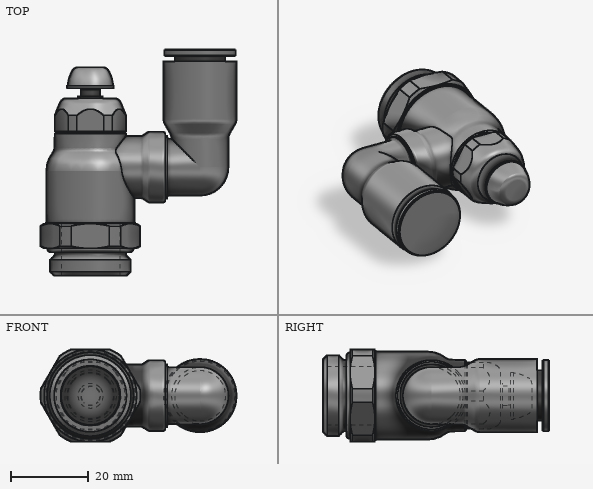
import cadquery as cq
import math


total_length = 58.7
thread_radius = 10.5
thread_tip_radius = 9.4
thread_tip_chamfer = 1.1
thread_end = 4.1
relief_radius = 9.3
thread_cone_end = 5.15
thread_cone_end_radius = 9.45
relief_start = 5.5
bore_radius = 7.6
bore_mouth_chamfer = 0.2
seal_start = 6.1
seal_radius = 11.2
nut_start = 7.1
nut_end = 13.5
nut_flats = 24.0
nut_corner_radius = 12.95
nut_chamfer_height = 0.6
nut_collar_radius = 11.6
nut_collar_height = 0.3
bore_depth = nut_end + nut_collar_height

sleeve_radius = 11.45
shoulder_start = 27.2
shoulder_bend_radius = 7.45
shoulder_angle = math.radians(38)
shoulder_blend_radius = 2.3
sleeve_end = 37.15
sleeve_end_chamfer = 0.35
sleeve_end_taper = 0.1
throat_radius = 7.85

cap_start = 37.45
cap_cone_start = 41.55
cap_round_start = 44.6
cap_end = 46.0
cap_flats = 17.2
cap_corner_radius = 9.3
cap_cone_top_radius = 8.05
cap_top_radius = 6.7

washer_radius = 3.2
washer_end = 46.5
stem_radius = 2.5
stem_relief_radius = 2.4
stem_relief_start = 48.25
knob_start = 48.6
knob_rim_radius = 6.1
knob_rim_round = 0.3
knob_rim_height = 0.7
knob_dome_radius = 5.9
knob_shoulder_radius = 4.5
knob_shoulder = 53.45
knob_top_radius = 2.95
knob_end = 54.1
knob_side_bulge = 0.3
knob_top_bulge = 0.2

branch_height = 28.2
branch_radius = 8.1
collar_radius = 9.2
collar_cone_start = 13.15
collar_cone_end = 15.45
collar_bend_length = 0.5
collar_bend_rise = 0.2
collar_round_start = 18.65
collar_end = 19.4
collar_end_radius = 8.75
elbow_rim_radius = 8.15
elbow_rim_end = 19.9
elbow_rim_inner_radius = 7.8
elbow_fillet_end = 20.3

elbow_radius = 7.4
port_x = 28.4
port_neck_end = 35.5
port_cone_start = 36.9
port_cone_end = 39.4
port_cone_base_radius = 7.75
port_cone_top_radius = 9.15
port_start = 40.8
port_end = 55.6
port_radius = 9.5
release_neck_radius = 6.6
release_start = 56.9
release_radius = 9.3
release_chamfer = 0.3


def revolve_about_y(profile, x=0):
    """Close a (radius, Y) profile on the axis and turn it about the Y line at the given X."""
    return profile.close().revolve(360, (0, 0, 0), (0, 1, 0)).translate((x, 0, 0))


def arc_middle(start, end, bulge):
    """Point at the middle of a shallow arc that stands off its chord by the given bulge."""
    run = end[0] - start[0]
    rise = end[1] - start[1]
    chord = math.hypot(run, rise)
    return (
        (start[0] + end[0]) / 2 + bulge * rise / chord,
        (start[1] + end[1]) / 2 - bulge * run / chord,
    )


def hexagon(across_flats, start, end):
    """Hexagonal prism along Y with two flats facing +Z and -Z."""
    across_corners = across_flats / math.cos(math.pi / 6)
    prism = cq.Workplane("XZ").polygon(6, across_corners).extrude(start - end)
    return prism.translate((0, start, 0))


def threaded_end():
    """External thread blank, relief groove and quarter-round seal under the nut."""
    seal_height = nut_start - seal_start
    profile = (
        cq.Workplane("XY")
        .moveTo(0, 0)
        .lineTo(thread_tip_radius, 0)
        .lineTo(thread_radius, thread_tip_chamfer)
        .lineTo(thread_radius, thread_end)
        .lineTo(thread_cone_end_radius, thread_cone_end)
        .tangentArcPoint((relief_radius, relief_start), relative=False)
        .lineTo(relief_radius, seal_start)
        .lineTo(seal_radius - seal_height, seal_start)
        .radiusArc((seal_radius, nut_start), -seal_height)
        .lineTo(0, nut_start)
    )
    return revolve_about_y(profile)


def body_nut():
    flat_radius = nut_flats / 2
    blank = (
        cq.Workplane("XY")
        .moveTo(0, nut_start)
        .lineTo(flat_radius, nut_start)
        .lineTo(nut_corner_radius, nut_start + nut_chamfer_height)
        .lineTo(nut_corner_radius, nut_end - nut_chamfer_height)
        .lineTo(flat_radius, nut_end)
        .lineTo(nut_collar_radius, nut_end)
        .lineTo(nut_collar_radius, nut_end + nut_collar_height)
        .lineTo(0, nut_end + nut_collar_height)
    )
    prism = hexagon(nut_flats, nut_start, nut_end + nut_collar_height)
    return revolve_about_y(blank).intersect(prism)


def sleeve():
    """Cylinder that curves in through an S-shaped shoulder to a narrower end."""
    half_angle = shoulder_angle / 2
    bend_center_r = sleeve_radius - shoulder_bend_radius

    def bend_point(angle):
        return (
            bend_center_r + shoulder_bend_radius * math.cos(angle),
            shoulder_start + shoulder_bend_radius * math.sin(angle),
        )

    bend_end = bend_point(shoulder_angle)
    blend_center_r = bend_end[0] + shoulder_blend_radius * math.cos(shoulder_angle)
    blend_end_y = bend_end[1] + shoulder_blend_radius * math.sin(shoulder_angle)
    blend_middle = (
        blend_center_r - shoulder_blend_radius * math.cos(half_angle),
        blend_end_y - shoulder_blend_radius * math.sin(half_angle),
    )
    neck_radius = blend_center_r - shoulder_blend_radius
    end_radius = neck_radius - sleeve_end_taper
    profile = (
        cq.Workplane("XY")
        .moveTo(0, nut_end)
        .lineTo(sleeve_radius, nut_end)
        .lineTo(sleeve_radius, shoulder_start)
        .threePointArc(bend_point(half_angle), bend_end)
        .threePointArc(blend_middle, (neck_radius, blend_end_y))
        .lineTo(end_radius, sleeve_end - sleeve_end_chamfer)
        .lineTo(end_radius - sleeve_end_chamfer, sleeve_end)
        .lineTo(throat_radius, sleeve_end)
        .lineTo(throat_radius, cap_start)
        .lineTo(0, cap_start)
    )
    return revolve_about_y(profile)


def cap():
    blank = (
        cq.Workplane("XY")
        .moveTo(0, cap_start)
        .lineTo(cap_corner_radius, cap_start)
        .lineTo(cap_corner_radius, cap_cone_start)
        .lineTo(cap_cone_top_radius, cap_round_start)
        .tangentArcPoint((cap_top_radius, cap_end), relative=False)
        .lineTo(0, cap_end)
    )
    return revolve_about_y(blank).intersect(hexagon(cap_flats, cap_start, cap_end))


def knob():
    rim_top = knob_start + knob_rim_height
    dome_base = (knob_dome_radius, rim_top)
    shoulder = (knob_shoulder_radius, knob_shoulder)
    top = (knob_top_radius, knob_end)
    profile = (
        cq.Workplane("XY")
        .moveTo(0, cap_end)
        .lineTo(washer_radius, cap_end)
        .lineTo(washer_radius, washer_end)
        .lineTo(stem_radius, washer_end)
        .lineTo(stem_radius, stem_relief_start)
        .lineTo(stem_relief_radius, stem_relief_start)
        .lineTo(stem_relief_radius, knob_start)
        .lineTo(knob_rim_radius - knob_rim_round, knob_start)
        .tangentArcPoint((knob_rim_radius, knob_start + knob_rim_round), relative=False)
        .lineTo(knob_rim_radius, rim_top)
        .lineTo(*dome_base)
        .threePointArc(arc_middle(dome_base, shoulder, knob_side_bulge), shoulder)
        .threePointArc(arc_middle(shoulder, top, knob_top_bulge), top)
        .lineTo(0, knob_end)
    )
    return revolve_about_y(profile)


def branch():
    """Side branch with its collar and the horizontal leg of the elbow, turned about X."""
    cone_base = (collar_cone_start + collar_bend_length, branch_radius + collar_bend_rise)
    cone_top = (collar_cone_end - collar_bend_length, collar_radius - collar_bend_rise)
    elbow_fillet_radius = elbow_fillet_end - elbow_rim_end
    profile = (
        cq.Workplane("XY")
        .lineTo(0, branch_radius)
        .lineTo(collar_cone_start, branch_radius)
        .tangentArcPoint(cone_base, relative=False)
        .lineTo(*cone_top)
        .tangentArcPoint((collar_cone_end, collar_radius), relative=False)
        .lineTo(collar_round_start, collar_radius)
        .tangentArcPoint((collar_end, collar_end_radius), relative=False)
        .lineTo(collar_end, elbow_rim_radius)
        .lineTo(elbow_rim_end, elbow_rim_radius)
        .lineTo(elbow_rim_end, elbow_rim_inner_radius)
        .radiusArc((elbow_fillet_end, elbow_radius), -elbow_fillet_radius)
        .lineTo(port_x, elbow_radius)
        .lineTo(port_x, 0)
        .close()
    )
    turned = profile.revolve(360, (0, 0, 0), (1, 0, 0))
    return turned.translate((0, branch_height, 0))


def port():
    """Vertical leg of the elbow with its ball end, socket and release ring."""
    ball_middle = elbow_radius * math.sqrt(0.5)
    cone_base = (port_cone_base_radius, port_cone_start)
    cone_top = (port_cone_top_radius, port_cone_end)
    profile = (
        cq.Workplane("XY")
        .moveTo(0, branch_height - elbow_radius)
        .threePointArc((ball_middle, branch_height - ball_middle), (elbow_radius, branch_height))
        .lineTo(elbow_radius, port_neck_end)
        .tangentArcPoint(cone_base, relative=False)
        .lineTo(*cone_top)
        .tangentArcPoint((port_radius, port_start), relative=False)
        .lineTo(port_radius, port_end)
        .lineTo(release_neck_radius, port_end)
        .lineTo(release_neck_radius, release_start)
        .lineTo(release_radius - release_chamfer, release_start)
        .lineTo(release_radius, release_start + release_chamfer)
        .lineTo(release_radius, total_length - release_chamfer)
        .lineTo(release_radius - release_chamfer, total_length)
        .lineTo(0, total_length)
    )
    return revolve_about_y(profile, port_x)


bore = cq.Workplane("XZ").circle(bore_radius).extrude(-bore_depth)
bore_mouth = revolve_about_y(
    cq.Workplane("XY")
    .lineTo(bore_radius + bore_mouth_chamfer, 0)
    .lineTo(bore_radius, bore_mouth_chamfer)
    .lineTo(0, bore_mouth_chamfer)
)

result = threaded_end().union(body_nut()).cut(bore.union(bore_mouth))
for piece in (sleeve(), cap(), knob(), branch(), port()):
    result = result.union(piece)